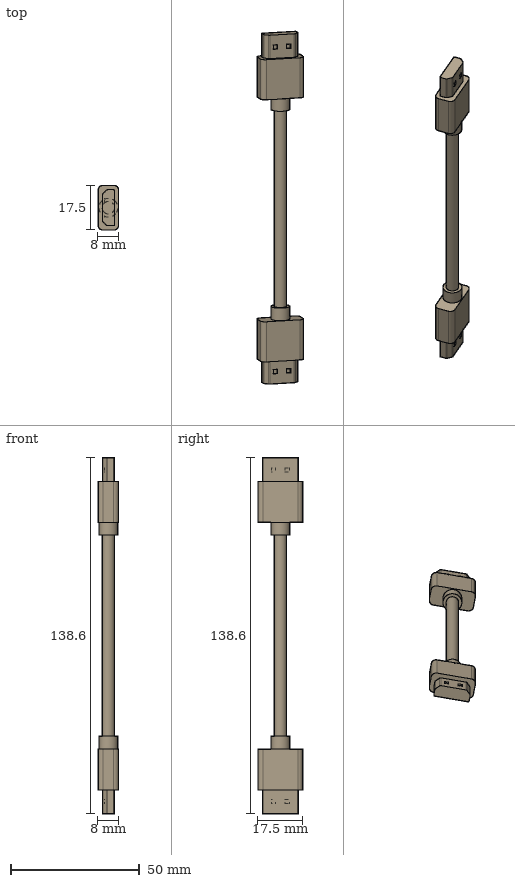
import cadquery as cq

total_length = 138.6
half_length = total_length / 2
cable_diameter = 4.9

boot_diameter = 7.3
boot_length = 5.0

body_thickness = 8.0
body_width = 17.5
body_length = 16.0
body_corner_radius = 2.0

tip_thickness = 4.7
tip_width = 14.0
tip_length = 9.3
tip_chamfer = 1.8
tip_bevel_radius = 0.7
tip_back_radius = 0.4

recess_size = 1.7
recess_spacing = 5.4
recess_depth = 0.8
recess_from_end = 4.9

selection_margin = 0.1

body_top = half_length - tip_length
body_bottom = body_top - body_length
boot_bottom = body_bottom - boot_length


def make_tip():
    """Plug tip with softened chamfers and two latch recesses."""
    front = -tip_thickness / 2
    back = tip_thickness / 2
    side = tip_width / 2
    outline = [
        (back, -side),
        (back, side),
        (front + tip_chamfer, side),
        (front, side - tip_chamfer),
        (front, tip_chamfer - side),
        (front + tip_chamfer, -side),
    ]
    tip = cq.Workplane("XY").workplane(offset=body_top).polyline(outline).close().extrude(tip_length)
    tip = tip.edges("|Z").edges(">X").fillet(tip_back_radius)
    bevel_edges = cq.selectors.BoxSelector(
        (front - selection_margin, -tip_width, 0),
        (front + tip_chamfer + selection_margin, tip_width, total_length),
    )
    tip = tip.edges("|Z").edges(bevel_edges).fillet(tip_bevel_radius)
    recess_height = half_length - recess_from_end
    for y in (-recess_spacing / 2, recess_spacing / 2):
        recess = cq.Workplane("XY").box(2 * recess_depth, recess_size, recess_size)
        tip = tip.cut(recess.translate((front, y, recess_height)))
    return tip


def make_connector():
    """Upper connector: strain relief, rounded body and plug tip."""
    boot = cq.Workplane("XY").workplane(offset=boot_bottom).circle(boot_diameter / 2).extrude(boot_length)
    body = (
        cq.Workplane("XY")
        .workplane(offset=body_bottom)
        .rect(body_thickness, body_width)
        .extrude(body_length)
        .edges("|Z")
        .fillet(body_corner_radius)
    )
    return boot.union(body).union(make_tip())


cable = (
    cq.Workplane("XY")
    .workplane(offset=-boot_bottom)
    .circle(cable_diameter / 2)
    .extrude(2 * boot_bottom)
)
upper_connector = make_connector()
lower_connector = upper_connector.mirror("XY")
result = cable.union(upper_connector).union(lower_connector)